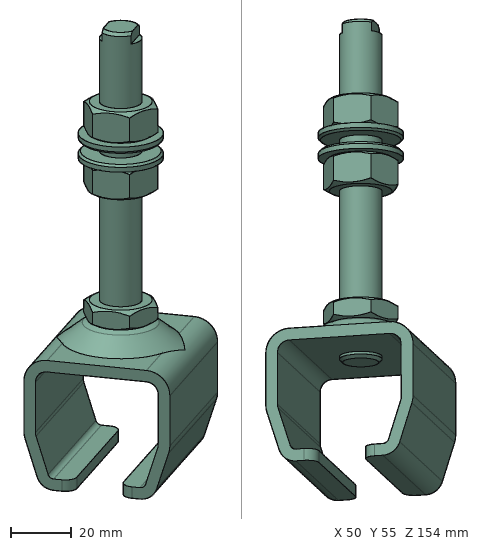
import cadquery as cq
import math

total_height = 154.0

channel_width = 50.0
channel_length = 55.0
channel_height = 45.1
wall = 4.0
top_bend_radius = 8.0
leg_bend_radius = 8.0
lip_bend_radius = 6.0
leg_bend_height = 18.3
leg_inset = 5.9
slot_width = 16.0
lip_corner_radius = 4.0

rod_diameter = 14.0
rod_bottom = 39.1
rod_chamfer = 1.1
flats_width = 10.0
flats_height = 4.0

seat_height = 6.6
seat_slope = 38.5
crown_height = 1.0

nut_across_flats = 22.0
nut_height = 11.0
lock_nut_height = 7.0
nut_chamfer_angle = 30.0
nut_face_diameter = 20.6

washer_diameter = 28.0
washer_thickness = 2.5
washer_chamfer = 0.8

seat_top = channel_height + seat_height
upper_nut_top = 127.8
lower_nut_bottom = 97.2
upper_washer_top = upper_nut_top - nut_height
lower_washer_bottom = lower_nut_bottom + nut_height


def vertical_cylinder(diameter, bottom, height):
    return cq.Workplane("XY").workplane(offset=bottom).circle(diameter / 2).extrude(height)


def rod_hole():
    """Cylinder that clears the rod out of any body it passes through."""
    return vertical_cylinder(rod_diameter, 0, total_height)


def channel_envelope():
    """Channel with its inside filled: six-sided outline with rounded bends."""
    half_width = channel_width / 2
    outline = [
        (-half_width, channel_height),
        (half_width, channel_height),
        (half_width, leg_bend_height),
        (half_width - leg_inset, 0),
        (leg_inset - half_width, 0),
        (-half_width, leg_bend_height),
    ]
    envelope = cq.Workplane("XZ").polyline(outline).close().extrude(channel_length / 2, both=True)
    envelope = envelope.edges("|Y").edges(">>Z[-2]").fillet(leg_bend_radius)
    envelope = envelope.edges("|Y").edges(">Z").fillet(top_bend_radius)
    return envelope.edges("|Y").edges("<Z").fillet(lip_bend_radius)


def make_channel():
    envelope = channel_envelope()
    cavity = (
        envelope.faces("<Y").wires().toPending()
        .workplane()
        .offset2D(-wall)
        .extrude(-channel_length, combine=False)
    )
    slot = cq.Workplane("XY").rect(slot_width, 2 * channel_length).extrude(wall)
    channel = envelope.cut(cavity).cut(slot)
    half_slot = slot_width / 2
    slot_zone = cq.selectors.BoxSelector(
        (-half_slot - wall / 2, -channel_length, 0),
        (half_slot + wall / 2, channel_length, wall),
    )
    channel = channel.edges("|Z").edges(slot_zone).fillet(lip_corner_radius)
    return channel.cut(rod_hole())


def make_seat():
    """Cone that meets the top bends of the channel at a tangent, under a flatter crown."""
    slope = math.radians(seat_slope)
    bend_centre_x = channel_width / 2 - top_bend_radius
    bend_centre_z = channel_height - top_bend_radius
    skirt_radius = bend_centre_x + top_bend_radius * math.sin(slope)
    skirt_bottom = bend_centre_z + top_bend_radius * math.cos(slope)
    cone_top = seat_top - crown_height
    cone_top_radius = skirt_radius - (cone_top - skirt_bottom) / math.tan(slope)
    half_section = [
        (0, skirt_bottom),
        (skirt_radius, skirt_bottom),
        (cone_top_radius, cone_top),
        (nut_face_diameter / 2, seat_top),
        (0, seat_top),
    ]
    seat = cq.Workplane("XZ").polyline(half_section).close().revolve(360, (0, 0), (0, 1))
    return seat.cut(channel_envelope()).cut(rod_hole())


def make_rod():
    rod = vertical_cylinder(rod_diameter, rod_bottom, total_height - rod_bottom)
    rod = rod.faces("<Z or >Z").chamfer(rod_chamfer)
    flats_bottom = total_height - flats_height
    end_block = cq.Workplane("XY").workplane(offset=flats_bottom).rect(flats_width, rod_diameter)
    outside_flats = vertical_cylinder(2 * rod_diameter, flats_bottom, flats_height)
    return rod.cut(outside_flats.cut(end_block.extrude(flats_height)))


def make_nut(bottom, height):
    """Hexagon nut with two corners on the X axis and conical chamfers at both ends."""
    across_corners = nut_across_flats / math.cos(math.radians(30))
    face_radius = nut_face_diameter / 2
    corner_radius = across_corners / 2
    chamfer_height = (corner_radius - face_radius) * math.tan(math.radians(nut_chamfer_angle))
    hexagon = cq.Workplane("XY").polygon(6, across_corners).extrude(height)
    chamfer_profile = [
        (0, 0),
        (face_radius, 0),
        (corner_radius, chamfer_height),
        (corner_radius, height - chamfer_height),
        (face_radius, height),
        (0, height),
    ]
    chamfer_body = cq.Workplane("XZ").polyline(chamfer_profile).close().revolve(360, (0, 0), (0, 1))
    return hexagon.intersect(chamfer_body).translate((0, 0, bottom)).cut(rod_hole())


def make_washer(bottom, chamfered_face):
    """Flat washer with a chamfered rim on one face, given as a face selector."""
    washer = vertical_cylinder(washer_diameter, bottom, washer_thickness)
    return washer.faces(chamfered_face).chamfer(washer_chamfer).cut(rod_hole())


channel = make_channel()
seat = make_seat()
rod = make_rod()

nut_places = [
    (seat_top, lock_nut_height),
    (lower_nut_bottom, nut_height),
    (upper_washer_top, nut_height),
]
nuts = [make_nut(bottom, height) for bottom, height in nut_places]

washer_places = [
    (lower_washer_bottom, ">Z"),
    (upper_washer_top - washer_thickness, "<Z"),
]
washers = [make_washer(bottom, chamfered_face) for bottom, chamfered_face in washer_places]

result = cq.Compound.makeCompound(
    [body.solids().val() for body in [channel, seat, rod, *nuts, *washers]]
)